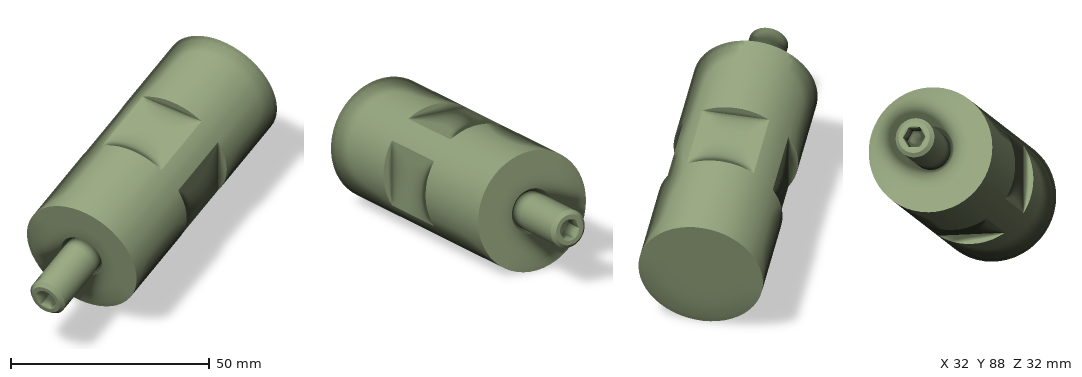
import cadquery as cq
import math

total_length = 88.0
body_diameter = 32.0
body_length = 70.05
stud_diameter = 10.0
stud_chamfer = 1.0
recess_diameter = 12.0
flat_spacing = 27.0
flat_length = 20.0
socket_width = 5.0
socket_depth = 5.0
socket_tip_angle = 120.0
socket_lead_angle = 120.0

stud_length = total_length - body_length
body_radius = body_diameter / 2
stud_radius = stud_diameter / 2
recess_radius = recess_diameter / 2
recess_depth = recess_radius - stud_radius
socket_corner_radius = socket_width / math.sqrt(3)
socket_tip_depth = socket_width / 2 / math.tan(math.radians(socket_tip_angle / 2))
socket_lead_depth = socket_corner_radius / math.tan(math.radians(socket_lead_angle / 2))
stud_end = -stud_length


def revolve_about_y(points):
    """Revolve a closed (radius, y) outline about the Y axis."""
    return cq.Workplane("XY").polyline(points).close().revolve(360, (0, 0), (0, 1))


def body_and_stud():
    """Turned body with a chamfered stud rising from a conical recess."""
    return revolve_about_y([
        (0, body_length),
        (body_radius, body_length),
        (body_radius, 0),
        (recess_radius, 0),
        (stud_radius, recess_depth),
        (stud_radius, stud_end + stud_chamfer),
        (stud_radius - stud_chamfer, stud_end),
        (0, stud_end),
    ])


def wrench_flats():
    """Material removed around the middle of the body to leave four flats."""
    ring = cq.Workplane("XY").box(body_diameter, flat_length, body_diameter)
    core = cq.Workplane("XY").box(flat_spacing, flat_length, flat_spacing)
    return ring.cut(core).translate((0, body_length / 2, 0))


def hex_socket():
    """Hexagon socket in the stud end, with conical mouth and floor."""
    floor_y = stud_end + socket_depth
    hexagon = (
        cq.Workplane("XZ", origin=(0, stud_end, 0))
        .polygon(6, 2 * socket_corner_radius)
        .extrude(-socket_depth)
    )
    floor = revolve_about_y([
        (0, floor_y),
        (socket_width / 2, floor_y),
        (0, floor_y + socket_tip_depth),
    ])
    mouth = revolve_about_y([
        (0, stud_end),
        (socket_corner_radius, stud_end),
        (0, stud_end + socket_lead_depth),
    ])
    return hexagon.union(floor).union(mouth)


result = body_and_stud().cut(wrench_flats()).cut(hex_socket())
result = result.translate((0, stud_length - total_length / 2, 0))